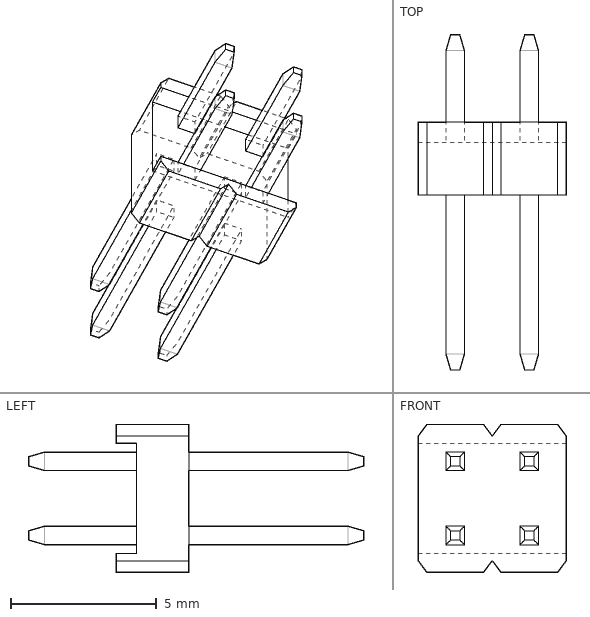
import cadquery as cq

pitch = 2.54
columns = 2
rows = 2

body_width = columns * pitch
body_height = rows * pitch
body_depth = 2.5
corner_run = 0.3
corner_drop = 0.4

channel_height = 3.77
channel_depth = 0.7

pin_size = 0.64
pin_tip_size = pin_size / 2
pin_length = 11.5
tip_length = 0.55
pin_front_reach = 6.0


def centered_positions(count):
    """Positions of `count` items one pitch apart, centred on zero."""
    return [(i - (count - 1) / 2) * pitch for i in range(count)]


def make_cell_column(x_center):
    """One column of the body: a block with its four long edges bevelled."""
    half_width = pitch / 2
    half_height = body_height / 2
    flat_half = half_width - corner_run
    side_half = half_height - corner_drop
    outline = [
        (-flat_half, -half_height),
        (flat_half, -half_height),
        (half_width, -side_half),
        (half_width, side_half),
        (flat_half, half_height),
        (-flat_half, half_height),
        (-half_width, side_half),
        (-half_width, -side_half),
    ]
    return cq.Workplane("XZ").polyline(outline).close().extrude(-body_depth).translate((x_center, 0, 0))


def make_body():
    """Bevelled columns side by side, with the relief channel cut along X."""
    body = make_cell_column(centered_positions(columns)[0])
    for x in centered_positions(columns)[1:]:
        body = body.union(make_cell_column(x))
    channel = cq.Workplane("XY").box(body_width, channel_depth, channel_height)
    channel_y = body_depth - channel_depth / 2
    return body.cut(channel.translate((0, channel_y, 0)))


def make_tip(direction):
    """Tapered pin end, its wide end at Y = 0 and pointing along `direction` (+1 or -1) in Y."""
    return (
        cq.Workplane("XZ")
        .rect(pin_size, pin_size)
        .workplane(offset=-direction * tip_length)
        .rect(pin_tip_size, pin_tip_size)
        .loft(ruled=True)
    )


def make_pin():
    """Square pin along Y, tapered at both ends."""
    shank_start = -pin_front_reach + tip_length
    shank_end = pin_length - pin_front_reach - tip_length
    shank_length = shank_end - shank_start
    shank_center = (shank_start + shank_end) / 2
    shank = cq.Workplane("XY").box(pin_size, shank_length, pin_size).translate((0, shank_center, 0))
    front_tip = make_tip(-1).translate((0, shank_start, 0))
    back_tip = make_tip(1).translate((0, shank_end, 0))
    return shank.union(front_tip).union(back_tip)


result = make_body()
for x in centered_positions(columns):
    for z in centered_positions(rows):
        result = result.union(make_pin().translate((x, 0, z)))